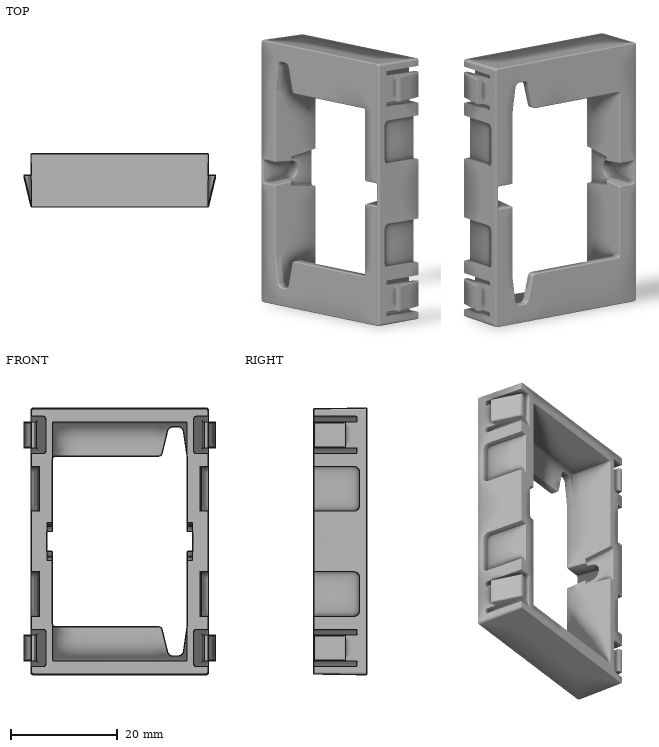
import cadquery as cq
import math

height = 50.0
width = 33.3
depth = 10.0
outer_draft = 0.15
outer_corner_radius = 0.5
back_edge_radius = 0.25

window_width = 25.2
window_height = 44.7
window_corner_radius = 0.25
lip_thickness = 1.5
lip_edge_z = 15.95
lip_root_radius = 0.45
lip_side_radius = 0.5
lip_corner_radius = 0.75

notch_top_z = 21.45
notch_mouth_left = 7.8
notch_top_left = 9.15
notch_top_right = 11.8
notch_corner_radius = 1.0

recess_center_z = 9.85
recess_height = 8.35
recess_length = 8.6
recess_front_depth = 1.6
recess_back_depth = 1.3
recess_corner_radius = 1.05

clip_center_z = 19.95
cavity_length = 8.1
cavity_height = 7.0
cavity_floor_x = 13.85
cavity_corner_radius = 0.5
cavity_end_radius = 0.25
arm_inner_x = 15.6
arm_height = 4.85
arm_tip_chamfer = 0.3
wedge_base_x = 16.6
wedge_tip_x = 17.95
wedge_length = 6.0
wedge_tip_flat = 0.4
wedge_edge_chamfer = 0.15

groove_front_height = 7.1
groove_end_height = 5.6
groove_floor_x = 13.65
groove_length = 5.85
groove_floor_radius = 0.25
slot_end_radius = 1.75
slot_side_angle = 5.0
slot_floor_x = 16.0
slot_front_y = 3.35
slot_floor_radius = 0.25
slot_mouth_radius = 0.25

overcut = 0.5


def block(x_min, x_max, y_min, y_max, z_min, z_max):
    """Axis-aligned box between the given limits."""
    size = (x_max - x_min, y_max - y_min, z_max - z_min)
    return cq.Workplane("XY").box(*size, centered=False).translate((x_min, y_min, z_min))


def face_plane(y):
    """Sketch plane at the given y; extruding goes towards the front (-Y)."""
    return cq.Workplane("XZ", origin=(0, y, 0))


def outer_body():
    outline = cq.Sketch().rect(width, height).vertices().fillet(outer_corner_radius)
    draft_angle = math.degrees(math.atan(outer_draft / depth))
    return face_plane(depth).placeSketch(outline).extrude(depth, taper=draft_angle)


def window():
    """Opening in front of the lips."""
    window_length = depth - lip_thickness
    opening = face_plane(window_length).rect(window_width, window_height)
    opening = opening.extrude(window_length + overcut)
    opening = opening.edges("|Y").fillet(window_corner_radius)
    return opening.faces(">Y").edges().fillet(lip_root_radius)


def lip_opening():
    """Opening between the lips, with a notch into each lip that narrows to a rounded end."""
    half_width = window_width / 2
    opening = block(-half_width, half_width, 0, depth + overcut, -lip_edge_z, lip_edge_z)
    opening = opening.edges("|Y and <X").fillet(lip_side_radius)
    notch = (
        face_plane(depth + overcut)
        .moveTo(notch_mouth_left, lip_edge_z)
        .lineTo(notch_top_left, notch_top_z)
        .lineTo(notch_top_right, notch_top_z)
        .lineTo(half_width, lip_edge_z)
        .close()
        .extrude(depth + overcut)
    )
    notch = notch.edges("|Y and >Z").fillet(notch_corner_radius)
    opening = opening.union(above_and_below(notch))
    for lip_z in (-lip_edge_z, lip_edge_z):
        mouth_corner = cq.NearestToPointSelector((notch_mouth_left, depth / 2, lip_z))
        opening = opening.edges("|Y").edges(mouth_corner).fillet(lip_corner_radius)
    return opening


def side_recess():
    """Shallow recess in the +X wall whose floor rises slightly towards the back."""
    floor_front_x = width / 2 - recess_front_depth
    floor_back_x = width / 2 - recess_back_depth
    outer_x = width / 2 + overcut
    recess = (
        cq.Workplane("XY", origin=(0, 0, recess_center_z))
        .polyline([
            (floor_front_x, 0),
            (floor_back_x, recess_length),
            (outer_x, recess_length),
            (outer_x, 0),
        ])
        .close()
        .extrude(recess_height / 2, both=True)
    )
    return recess.faces(">Y").edges("|X").fillet(recess_corner_radius)


def clip_cavity():
    """U-shaped cavity that frees the clip arm from the +X wall."""
    outer_x = width / 2 + overcut
    pocket = block(
        cavity_floor_x, outer_x, 0, cavity_length, -cavity_height / 2, cavity_height / 2
    )
    pocket = pocket.edges("|Y and <X").fillet(cavity_corner_radius)
    arm = block(
        arm_inner_x, outer_x + overcut, 0, cavity_length, -arm_height / 2, arm_height / 2
    )
    arm = arm.edges("<X and <Y").chamfer(arm_tip_chamfer)
    cavity = pocket.cut(arm)
    cavity = cavity.faces(">Y").edges("not >X").fillet(cavity_end_radius)
    return cavity.translate((0, 0, clip_center_z))


def clip_wedge():
    """Catch on the outside of the arm, rising from the front face to its tip."""
    embedded_x = arm_inner_x + arm_tip_chamfer
    slope_end_y = wedge_length - wedge_tip_flat
    wedge = (
        cq.Workplane("XY")
        .polyline([
            (embedded_x, 0),
            (wedge_base_x, 0),
            (wedge_tip_x, slope_end_y),
            (wedge_tip_x, wedge_length),
            (embedded_x, wedge_length),
        ])
        .close()
        .extrude(arm_height / 2, both=True)
    )
    slope_middle = ((wedge_base_x + wedge_tip_x) / 2, slope_end_y / 2, 0)
    slope = wedge.faces(cq.NearestToPointSelector(slope_middle))
    wedge = slope.edges("not >X").chamfer(wedge_edge_chamfer)
    return wedge.translate((0, 0, clip_center_z))


def middle_groove():
    """Groove in the inner face of the +X wall, narrowing from the front to its end."""
    inner_x = window_width / 2 - overcut
    groove = (
        cq.Workplane("YZ", origin=(inner_x, 0, 0))
        .polyline([
            (0, -groove_front_height / 2),
            (groove_length, -groove_end_height / 2),
            (groove_length, groove_end_height / 2),
            (0, groove_front_height / 2),
        ])
        .close()
        .extrude(groove_floor_x - inner_x)
    )
    return groove.faces(">X").edges("not <Y").fillet(groove_floor_radius)


def middle_slot():
    """Deeper slot in the +X wall, with a round front end and sides flaring to the open back."""
    inner_x = window_width / 2 - overcut
    angle = math.radians(slot_side_angle)
    tangent_y = slot_front_y + slot_end_radius * (1 - math.sin(angle))
    tangent_z = slot_end_radius * math.cos(angle)
    back_y = depth + overcut
    back_z = tangent_z + (back_y - tangent_y) * math.tan(angle)
    slot = (
        cq.Workplane("YZ", origin=(inner_x, 0, 0))
        .moveTo(back_y, -back_z)
        .lineTo(tangent_y, -tangent_z)
        .threePointArc((slot_front_y, 0), (tangent_y, tangent_z))
        .lineTo(back_y, back_z)
        .close()
        .extrude(slot_floor_x - inner_x)
    )
    return slot.faces(">X").edges("not >Y").fillet(slot_floor_radius)


def on_both_sides(shape):
    """The shape and its mirror image across the YZ plane."""
    return shape.union(shape.mirror("YZ"))


def above_and_below(shape):
    """The shape and its mirror image across the XY plane."""
    return shape.union(shape.mirror("XY"))


def round_inner_edges(body):
    """Round the edges where the slots and the groove ends meet the window walls."""
    wall_x = window_width / 2
    slot_edge_y = (groove_length + depth) / 2
    groove_edge_z = (slot_end_radius + groove_end_height / 2) / 2
    edge_points = []
    for x in (-wall_x, wall_x):
        for side in (-1, 1):
            edge_points.append((x, slot_edge_y, side * slot_end_radius))
            edge_points.append((x, groove_length, side * groove_edge_z))
    edges = body.edges(cq.NearestToPointSelector(edge_points[0]))
    for point in edge_points[1:]:
        edges = edges.add(body.edges(cq.NearestToPointSelector(point)))
    return edges.fillet(slot_mouth_radius)


frame = outer_body().cut(window()).cut(lip_opening())
frame = frame.cut(on_both_sides(middle_slot()))
frame = frame.cut(on_both_sides(middle_groove()))
frame = round_inner_edges(frame)
frame = frame.faces(">Y").edges().fillet(back_edge_radius)
frame = frame.cut(above_and_below(on_both_sides(side_recess())))
frame = frame.cut(above_and_below(on_both_sides(clip_cavity())))
result = frame.union(above_and_below(on_both_sides(clip_wedge())))